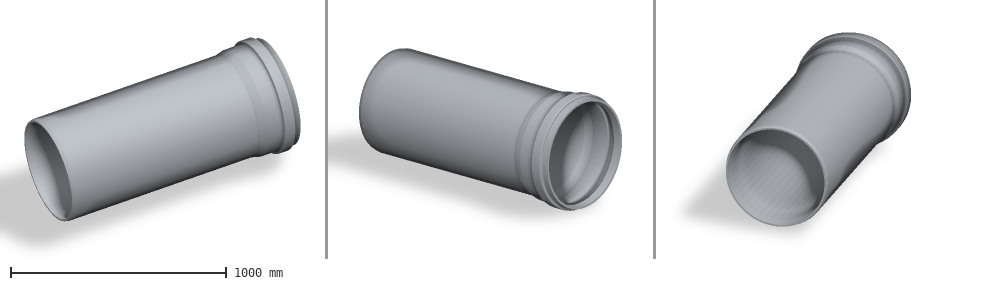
import cadquery as cq

length = 1178.0
pipe_radius = 501.0 / 2
pipe_bore_radius = 475.0 / 2

lead_in_length = 18.0
lead_in_depth = 5.0

socket_radius = 523.0 / 2
socket_bore_radius = 502.0 / 2
socket_depth = 170.0
transition_length = 42.0
transition_end = length - socket_depth
transition_start = transition_end - transition_length

collar_radius = 552.0 / 2
collar_offset = 33.0
collar_width = 55.0
collar_root_fillet = 6.0
collar_crest_fillet = 5.0
collar_end = length - collar_offset
collar_start = collar_end - collar_width
groove_radius = 535.0 / 2
groove_wall = collar_radius - groove_radius


def revolve_profile(points):
    """Revolve a closed (radius, y) outline around the pipe axis."""
    return cq.Workplane("XY").polyline(points).close().revolve(360, (0, 0), (0, 1))


def make_outer_body():
    body = revolve_profile([
        (0, 0),
        (pipe_radius - lead_in_depth, 0),
        (pipe_radius, lead_in_length),
        (pipe_radius, transition_start),
        (socket_radius, transition_end),
        (socket_radius, collar_start),
        (collar_radius, collar_start),
        (collar_radius, collar_end),
        (socket_radius, collar_end),
        (socket_radius, length),
        (0, length),
    ])
    body = round_collar_edges(body, socket_radius, collar_root_fillet)
    return round_collar_edges(body, collar_radius, collar_crest_fillet)


def round_collar_edges(body, edge_radius, fillet_radius):
    """Fillet the two circular collar edges of the given radius."""
    tolerance = 0.1

    def is_collar_edge(edge):
        if edge.geomType() != "CIRCLE":
            return False
        edge_y = edge.Center().y
        on_side = min(abs(edge_y - collar_start), abs(edge_y - collar_end)) < tolerance
        return on_side and abs(edge.radius() - edge_radius) < tolerance

    edges = body.edges().filter(is_collar_edge)
    return edges.fillet(fillet_radius)


def make_bore():
    groove_start = collar_start + groove_wall
    groove_end = collar_end - groove_wall
    return revolve_profile([
        (0, 0),
        (pipe_bore_radius, 0),
        (pipe_bore_radius, transition_start),
        (socket_bore_radius, transition_end),
        (socket_bore_radius, groove_start),
        (groove_radius, groove_start),
        (groove_radius, groove_end),
        (socket_bore_radius, groove_end),
        (socket_bore_radius, length),
        (0, length),
    ])


result = make_outer_body().cut(make_bore())